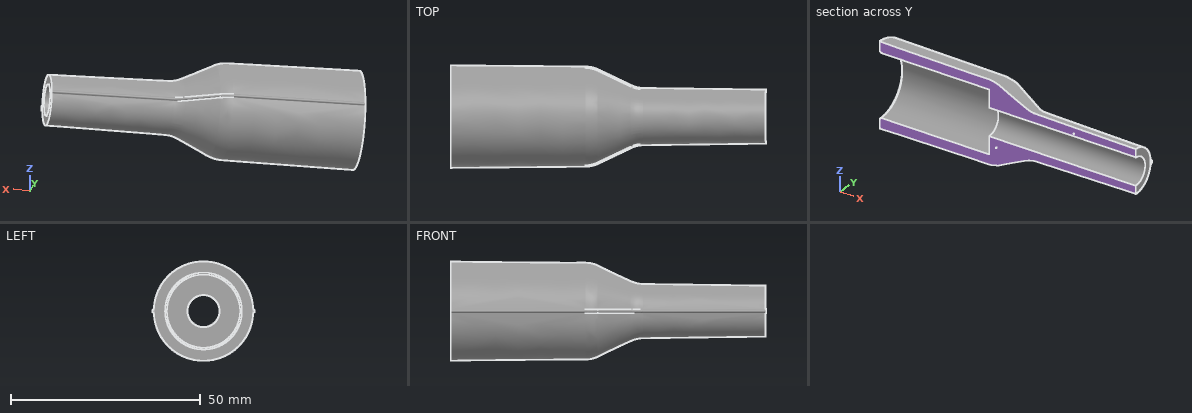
import cadquery as cq
import math

wide_length = 35.5
cone_start = 38.75
cone_end = 47.45
body_length = 83.0
bead_length = 83.2

wide_draft = math.radians(0.5)
narrow_draft = math.radians(0.75)
cone_angle = math.radians(25.5)

bend_length = cone_start - wide_length
narrow_start = cone_end + bend_length
wide_bend_drop = bend_length * math.tan((wide_draft + cone_angle) / 2)
narrow_bend_drop = bend_length * math.tan((narrow_draft + cone_angle) / 2)

wide_radius = 26.3 / 2
wide_end_radius = wide_radius - wide_length * math.tan(wide_draft)
cone_start_radius = wide_end_radius - wide_bend_drop
cone_end_radius = cone_start_radius - (cone_end - cone_start) * math.tan(cone_angle)
narrow_start_radius = cone_end_radius - narrow_bend_drop

socket_diameter = 19.3
socket_depth = wide_length
mouth_chamfer = 0.5
through_diameter = 8.4

bead_radius = 27.1 / 2 - wide_radius
foot_radius = 0.25
foot_depth = 0.03
root_depth = 0.3


def outer_outline(length):
    """Return the outer outline from the wide end to the given length along X."""
    end_radius = narrow_start_radius - (length - narrow_start) * math.tan(narrow_draft)
    return (
        cq.Workplane("XY")
        .moveTo(0, wide_radius)
        .lineTo(wide_length, wide_end_radius)
        .tangentArcPoint((cone_start, cone_start_radius), relative=False)
        .lineTo(cone_end, cone_end_radius)
        .tangentArcPoint((narrow_start, narrow_start_radius), relative=False)
        .lineTo(length, end_radius)
    )


def make_body():
    half_section = outer_outline(body_length).lineTo(body_length, 0).lineTo(0, 0).close()
    return half_section.revolve(360, (0, 0, 0), (1, 0, 0))


def make_bead():
    foot_height = foot_radius - foot_depth
    foot_angle = math.asin(foot_height / (bead_radius + foot_radius))
    foot_side = (bead_radius + foot_radius) * math.cos(foot_angle)
    touch_height = bead_radius * math.sin(foot_angle)
    touch_side = bead_radius * math.cos(foot_angle)
    middle_angle = (foot_angle + math.pi / 2) / 2
    middle_height = foot_height - foot_radius * math.sin(middle_angle)
    middle_side = foot_side - foot_radius * math.cos(middle_angle)
    section = (
        cq.Workplane("YZ")
        .center(wide_radius, 0)
        .moveTo(-root_depth, -foot_side)
        .lineTo(-foot_depth, -foot_side)
        .threePointArc((middle_height, -middle_side), (touch_height, -touch_side))
        .threePointArc((bead_radius, 0), (touch_height, touch_side))
        .threePointArc((middle_height, middle_side), (-foot_depth, foot_side))
        .lineTo(-root_depth, foot_side)
        .close()
    )
    return section.sweep(outer_outline(bead_length))


def make_bores():
    socket_radius = socket_diameter / 2
    through_hole = cq.Workplane("YZ").circle(through_diameter / 2).extrude(body_length)
    socket = cq.Workplane("YZ").circle(socket_radius).extrude(socket_depth)
    lead_in = (
        cq.Workplane("YZ")
        .circle(socket_radius + mouth_chamfer)
        .workplane(offset=mouth_chamfer)
        .circle(socket_radius)
        .loft()
    )
    return through_hole.union(socket).union(lead_in)


bead = make_bead()
result = make_body().union(bead).union(bead.mirror("XZ")).cut(make_bores())